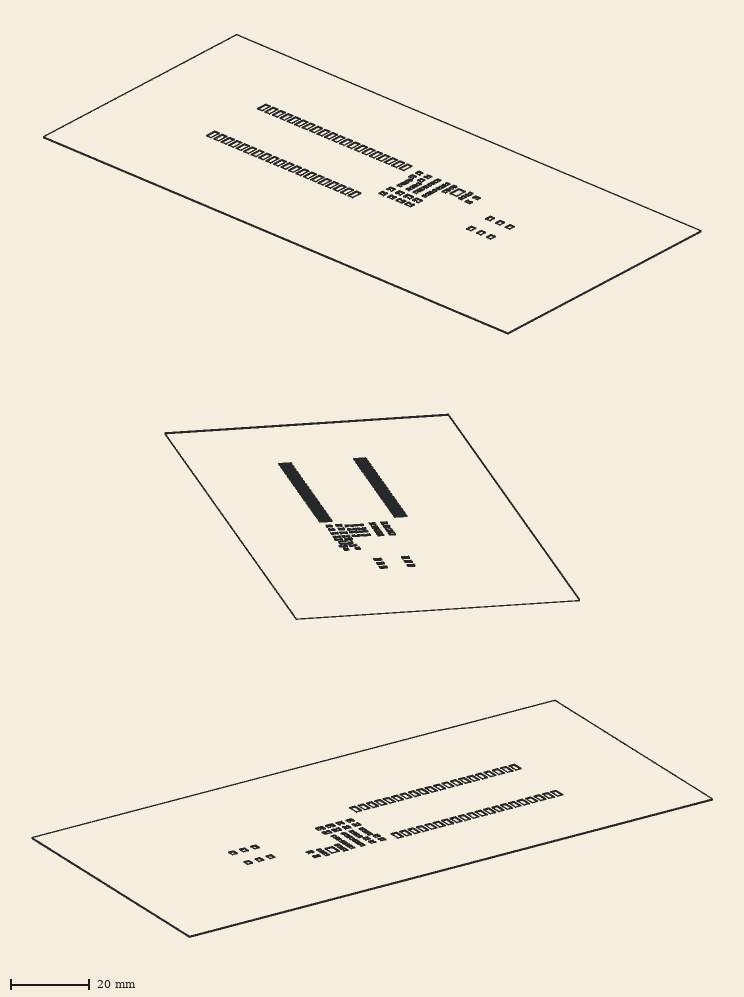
import cadquery as cq

PLATE_LENGTH = 158.22
PLATE_WIDTH = 73.66
PLATE_THICKNESS = 0.3
CUT_HEIGHT = 2 * PLATE_THICKNESS

GRID = 2.54

HEADER_COUNT = 20
HEADER_CENTER = (-23.74, 2.56)
HEADER_ROW_SPACING = 19.45
HEADER_SIZE = (1.6, 3.2)

SWITCH_COLUMNS = 3
SWITCH_CENTER = (38.07, 2.46)
SWITCH_PITCH = 3.35
SWITCH_ROW_SPACING = 7.2
SWITCH_SIZE = (1.5, 1.8)

SMALL_NOTCH = 0.35
LARGE_NOTCH = 0.4
PAIR_SPACING = 3.0
UPPER_ROW_Y = 11.02
LOWER_ROW_Y = UPPER_ROW_Y - 2 * GRID
RIGHT_COLUMN_X = 12.7

SQUARE_PAIR_X = 6.5
SQUARE_PAIR_SIZE = (1.4, 1.4)
NARROW_PAIR_SIZE = (1.1, 1.8)
NARROW_PAIR_PITCH = 2.35

TALL_PAIR_X = 7.3
TALL_PAIR_SIZE = (1.1, 2.1)

BOTTOM_PAIR_Y = -0.42
BOTTOM_PAIR_PITCH = 3.0
BOTTOM_FIRST_X = 5.45
BOTTOM_LEFT_SIZE = (1.5, 1.65)
BOTTOM_RIGHT_SIZE = (1.5, 2.05)

CHIP_X = 19.25
CHIP_SIZE = (2.25, 3.35)
CHIP_PAIR_SPACING = 5.5
CHIP_PAIR_SIZE = (1.1, 1.9)

END_PAIR_CENTER = (24.7, 10.62)
END_PAIR_SIZE = (1.1, 1.65)


def centered_offsets(count, pitch):
    """Positions of `count` items at an even pitch, centred on zero."""
    return [(i - (count - 1) / 2) * pitch for i in range(count)]


def plain_aperture(center, size):
    """Cutter for one rectangular aperture."""
    return cq.Workplane("XY").box(*size, CUT_HEIGHT).translate((*center, 0)).val()


def aperture_grid(center, size, columns, pitch, row_spacing):
    """Cutters for two rows of rectangular apertures."""
    x, y = center
    return [
        plain_aperture((x + dx, y + dy), size)
        for dy in centered_offsets(2, row_spacing)
        for dx in centered_offsets(columns, pitch)
    ]


def notched_pair(center, size, notch_radius, spacing=PAIR_SPACING, angle=0):
    """Cutters for two facing notched apertures, joined by a line at `angle` degrees to X."""
    depth, breadth = size
    notch = cq.Workplane("XY").cylinder(CUT_HEIGHT, notch_radius).translate((depth / 2, 0, 0))
    aperture = cq.Workplane("XY").box(depth, breadth, CUT_HEIGHT).cut(notch)
    first = aperture.translate((-spacing / 2, 0, 0)).val()
    pair = [first, first.rotate((0, 0, 0), (0, 0, 1), 180)]
    return [cutter.rotate((0, 0, 0), (0, 0, 1), angle).translate((*center, 0)) for cutter in pair]


def stacked_pairs(center, size, notch_radius, pitch=GRID, spacing=PAIR_SPACING):
    """Cutters for two notched pairs along X, one above the other."""
    x, y = center
    cutters = []
    for dy in centered_offsets(2, pitch):
        cutters += notched_pair((x, y + dy), size, notch_radius, spacing)
    return cutters


def header_apertures():
    return aperture_grid(HEADER_CENTER, HEADER_SIZE, HEADER_COUNT, GRID, HEADER_ROW_SPACING)


def switch_apertures():
    return aperture_grid(SWITCH_CENTER, SWITCH_SIZE, SWITCH_COLUMNS, SWITCH_PITCH, SWITCH_ROW_SPACING)


def upper_block():
    square = stacked_pairs((SQUARE_PAIR_X, UPPER_ROW_Y), SQUARE_PAIR_SIZE, SMALL_NOTCH)
    narrow_center = (RIGHT_COLUMN_X, UPPER_ROW_Y)
    narrow = stacked_pairs(narrow_center, NARROW_PAIR_SIZE, SMALL_NOTCH, NARROW_PAIR_PITCH)
    return square + narrow


def middle_block():
    cutters = []
    for x in (TALL_PAIR_X, RIGHT_COLUMN_X):
        cutters += stacked_pairs((x, LOWER_ROW_Y), TALL_PAIR_SIZE, LARGE_NOTCH)
    return cutters


def bottom_block():
    cutters = []
    sizes = [BOTTOM_LEFT_SIZE] * 2 + [BOTTOM_RIGHT_SIZE] * 2
    for i, size in enumerate(sizes):
        center = (BOTTOM_FIRST_X + i * BOTTOM_PAIR_PITCH, BOTTOM_PAIR_Y)
        cutters += notched_pair(center, size, LARGE_NOTCH, angle=90)
    return cutters


def chip_apertures():
    center = (CHIP_X, UPPER_ROW_Y)
    sides = stacked_pairs(center, CHIP_PAIR_SIZE, SMALL_NOTCH, spacing=CHIP_PAIR_SPACING)
    return [plain_aperture(center, CHIP_SIZE)] + sides


def end_pair():
    return notched_pair(END_PAIR_CENTER, END_PAIR_SIZE, SMALL_NOTCH, angle=90)


cutters = (
    header_apertures()
    + switch_apertures()
    + upper_block()
    + middle_block()
    + bottom_block()
    + chip_apertures()
    + end_pair()
)
plate = cq.Solid.makeBox(PLATE_LENGTH, PLATE_WIDTH, PLATE_THICKNESS)
plate = plate.translate(cq.Vector(-PLATE_LENGTH / 2, -PLATE_WIDTH / 2, -PLATE_THICKNESS / 2))
result = cq.Workplane("XY").newObject(plate.cut(*cutters).Solids())